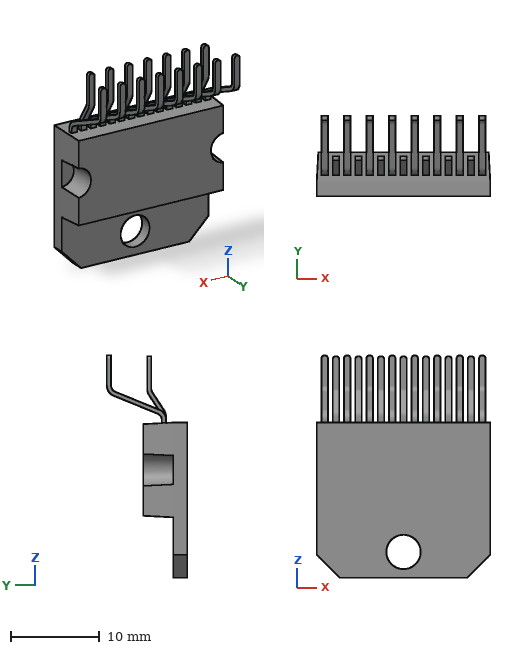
import cadquery as cq
import math

tab_width = 19.6
tab_height = 17.52
tab_thickness = 1.6
corner_chamfer = 2.6
hole_diameter = 3.85
hole_height = 2.9

body_bottom = 6.8
body_rear = 4.97
draft_angle = 3
notch_radius = 1.63

lead_count = 15
lead_row_width = 17.77
lead_width = 0.75
lead_thickness = 0.5
foot_y = 2.64
foot_depth = 1.0
lower_bend_height = 18.47
upper_bend_height = 21.0
bend_radius = 1.0
long_lead_rear = 9.09
long_lead_top = 25.1
short_lead_y = 4.3
short_lead_top = 25.0

body_height = tab_height - body_bottom
body_center_height = body_bottom + body_height / 2
body_depth = body_rear - tab_thickness
long_lead_y = long_lead_rear - lead_thickness / 2
lead_pitch = lead_row_width / (lead_count - 1)


def make_tab():
    """Plate with two chamfered lower corners and a mounting hole."""
    plate = cq.Workplane("XY").box(
        tab_width, tab_thickness, tab_height, centered=(True, False, False)
    )
    plate = plate.edges("|Y").edges("<Z").chamfer(corner_chamfer)
    hole = (
        cq.Workplane("XZ", origin=(0, 0, hole_height))
        .circle(hole_diameter / 2)
        .extrude(-tab_thickness)
    )
    return plate.cut(hole)


def make_body():
    """Drafted block with a conical half-round notch in each side."""
    tab_rear = cq.Plane(
        origin=(0, tab_thickness, body_center_height), xDir=(1, 0, 0), normal=(0, 1, 0)
    )
    block = (
        cq.Workplane(tab_rear).rect(tab_width, body_height).extrude(body_depth, taper=draft_angle)
    )
    for side in (-1, 1):
        notch = (
            cq.Workplane(tab_rear)
            .center(side * tab_width / 2, 0)
            .circle(notch_radius)
            .extrude(body_depth, taper=-draft_angle)
        )
        block = block.cut(notch)
    return block


def make_lead(x, upper_y, top):
    """Flat lead at x: foot, sloping run back to upper_y, then a vertical end with a round tip."""
    rearward = upper_y - foot_y
    rise = upper_bend_height - lower_bend_height
    lean = math.atan2(rearward, rise)
    tangent = bend_radius * math.tan(lean / 2)
    tangent_y = tangent * math.sin(lean)
    tangent_z = tangent * math.cos(lean)
    foot_bottom = tab_height - foot_depth
    tip_radius = lead_width / 2
    tip_height = top - tip_radius

    path = (
        cq.Workplane("YZ", origin=(x, 0, 0))
        .moveTo(foot_y, foot_bottom)
        .lineTo(foot_y, lower_bend_height - tangent)
        .tangentArcPoint((foot_y + tangent_y, lower_bend_height + tangent_z), relative=False)
        .lineTo(upper_y - tangent_y, upper_bend_height - tangent_z)
        .tangentArcPoint((upper_y, upper_bend_height + tangent), relative=False)
        .lineTo(upper_y, tip_height)
    )
    strip = (
        cq.Workplane("XY", origin=(x, foot_y, foot_bottom))
        .rect(lead_width, lead_thickness)
        .sweep(path)
    )
    tip = (
        cq.Workplane("XZ", origin=(x, upper_y + lead_thickness / 2, tip_height))
        .circle(tip_radius)
        .extrude(lead_thickness)
    )
    return strip.union(tip)


result = make_tab().union(make_body())
for index in range(lead_count):
    lead_x = index * lead_pitch - lead_row_width / 2
    if index % 2 == 0:
        lead = make_lead(lead_x, long_lead_y, long_lead_top)
    else:
        lead = make_lead(lead_x, short_lead_y, short_lead_top)
    result = result.union(lead)